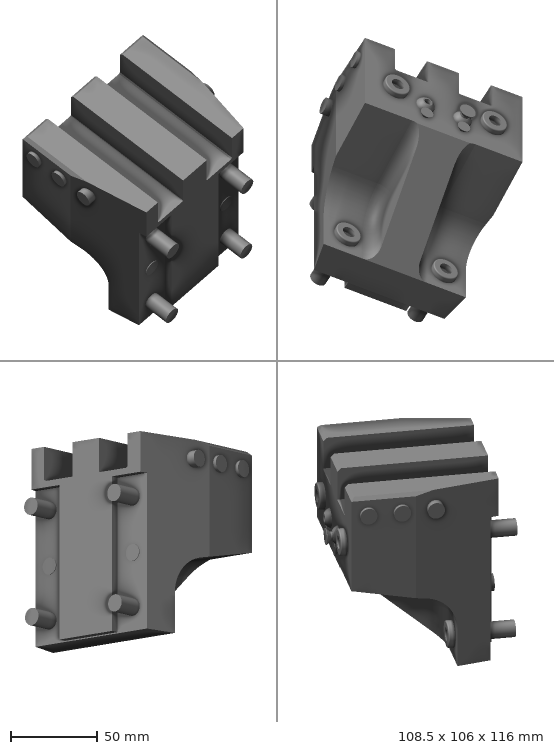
import cadquery as cq
import math

HEIGHT = 116.0
LENGTH = 89.0
HALF_WIDTH = 50.9
TOP_CHAMFER = 2.1
TAPER_START_X = 38.0
TAPER_END_HALF_WIDTH = 41.2

SLOT_INNER_Y = 10.0
SLOT_OUTER_Y = 31.4
SLOT_DEPTH = 20.3
SLOT_OUTER_CHAMFER = 0.8
SLOT_INNER_CHAMFER = 0.3

OVERHANG_Z = 56.5
OVERHANG_ANGLE = 12.0
PLATE_FRONT_X = 63.7
INSIDE_RADIUS = 24.0
RIB_HALF_WIDTH = 12.5
RIB_FILLET = 8.0
RIB_TOP_Z = 55.7

PAD_THICKNESS = 5.0
PAD_HALF_WIDTH = 20.0
PAD_TOP_Z = 92.0
PAD_BOTTOM_Z = 0.7
BUTTON_Y = 31.4
BUTTON_Z = 46.3
BUTTON_RADIUS = 5.0
BUTTON_HEIGHT = 0.5

PIN_RADIUS = 5.0
PIN_Z = 104.4
PIN_FIRST_X = 10.0
PIN_PITCH = 20.0
PIN_COUNT = 3
PIN_OUTER_Y = 53.0
PIN_INNER_Y = 40.6

SCREW_Y = 31.4
UPPER_SCREW_Z = 79.1
LOWER_SCREW_Z = 14.0
UPPER_SCREW_END_X = 101.0
LOWER_SCREW_END_X = 100.2
HEAD_RADIUS = 8.0
HEAD_HEIGHT = 3.8
HEAD_ROUNDING = 0.8
SOCKET_RADIUS = 4.0
SOCKET_DEPTH = 4.0
SHANK_RADIUS = 5.1

NOZZLE_Y = 12.0
BALL_Z = 74.0
BALL_RADIUS = 6.1
BALL_CENTRE_X = 1.9
BALL_PROTRUSION = 3.5
BORE_RADIUS = 2.2
BORE_DEPTH = 4.0
FLARE_RIM = 0.3
JET_NECK_RADIUS = 2.7
JET_NECK_END_X = -4.6
JET_RADIUS = 5.0
JET_END_X = -7.5
PLUG_Z = 65.3
PLUG_RADIUS = 4.0
PLUG_SEAT_RADIUS = 2.0
PLUG_END_X = -2.5
PLUG_SEAT_DEPTH = 1.2

STEP_X = LENGTH - PAD_THICKNESS
SIDES = (-1, 1)


def box(x_range, y_range, z_range):
    """Box spanning three ranges, each given as two end values in either order."""
    spans = [sorted(pair) for pair in (x_range, y_range, z_range)]
    sizes = [high - low for low, high in spans]
    corner = tuple(low for low, high in spans)
    return cq.Workplane("XY").box(*sizes, centered=False).translate(corner)


def cylinder_x(start_x, end_x, y, z, radius):
    """Cylinder along X between two positions."""
    return cq.Workplane("YZ", origin=(start_x, y, z)).circle(radius).extrude(end_x - start_x)


def chamfered_block():
    block = box((0, LENGTH), (-HALF_WIDTH, HALF_WIDTH), (0, HEIGHT))
    return block.faces(">Z").edges("<X or <Y or >Y").chamfer(TOP_CHAMFER)


def side_taper(side):
    corners = [
        (TAPER_START_X, side * HALF_WIDTH),
        (LENGTH, side * HALF_WIDTH),
        (LENGTH, side * TAPER_END_HALF_WIDTH),
    ]
    return cq.Workplane("XY").polyline(corners).close().extrude(HEIGHT)


def top_slot(side):
    floor_z = HEIGHT - SLOT_DEPTH
    section = [
        (side * SLOT_INNER_Y, HEIGHT),
        (side * SLOT_INNER_Y, floor_z + SLOT_INNER_CHAMFER),
        (side * (SLOT_INNER_Y + SLOT_INNER_CHAMFER), floor_z),
        (side * (SLOT_OUTER_Y - SLOT_OUTER_CHAMFER), floor_z),
        (side * SLOT_OUTER_Y, floor_z + SLOT_OUTER_CHAMFER),
        (side * SLOT_OUTER_Y, HEIGHT),
    ]
    return cq.Workplane("YZ").polyline(section).close().extrude(LENGTH)


def rib_slope():
    """Wedge below the sloping face of the rib."""
    corners = [(0, RIB_TOP_Z), (PLATE_FRONT_X, 0), (0, 0)]
    return cq.Workplane("XZ").polyline(corners).close().extrude(HALF_WIDTH, both=True)


def underside_space(side):
    """Space beside the rib, below the overhang and in front of the plate."""
    angle = math.radians(OVERHANG_ANGLE)
    slope = math.tan(angle)
    radius = INSIDE_RADIUS
    centre_x = PLATE_FRONT_X - radius
    centre_z = OVERHANG_Z - slope * centre_x - radius / math.cos(angle)
    tangent = (centre_x + radius * math.sin(angle), centre_z + radius * math.cos(angle))
    middle_angle = (math.pi / 2 - angle) / 2
    middle = (centre_x + radius * math.cos(middle_angle), centre_z + radius * math.sin(middle_angle))
    margin = 2 * RIB_FILLET
    space = (
        cq.Workplane("XZ", origin=(0, -HALF_WIDTH - margin, 0))
        .moveTo(-margin, -margin)
        .lineTo(-margin, OVERHANG_Z + slope * margin)
        .lineTo(*tangent)
        .threePointArc(middle, (PLATE_FRONT_X, centre_z))
        .lineTo(PLATE_FRONT_X, -margin)
        .close()
        .extrude(RIB_HALF_WIDTH - HALF_WIDTH - margin)
        .faces(">Y")
        .edges("not (<X or <Z)")
        .fillet(RIB_FILLET)
    )
    return space if side < 0 else space.mirror("XZ")


def rear_relief(side):
    return box((STEP_X, LENGTH), (side * PAD_HALF_WIDTH, side * HALF_WIDTH), (0, PAD_TOP_Z))


def rear_button(side):
    return cylinder_x(STEP_X, STEP_X + BUTTON_HEIGHT, side * BUTTON_Y, BUTTON_Z, BUTTON_RADIUS)


def side_pin(side, x):
    """Pin stub through a side wall, ending short of the slot."""
    length = PIN_OUTER_Y - PIN_INNER_Y
    pin = cq.Workplane("XZ", origin=(x, -PIN_INNER_Y, PIN_Z)).circle(PIN_RADIUS).extrude(length)
    return pin if side < 0 else pin.mirror("XZ")


def screw(seat_x, end_x, y, z):
    """Rounded head on the seat, with the shank showing behind the block."""
    head_x = seat_x - HEAD_HEIGHT
    head = cylinder_x(head_x, seat_x, y, z, HEAD_RADIUS).faces("<X").fillet(HEAD_ROUNDING)
    return head.union(cylinder_x(seat_x, end_x, y, z, SHANK_RADIUS))


def screw_socket(seat_x, y, z):
    head_x = seat_x - HEAD_HEIGHT
    return cylinder_x(head_x, head_x + SOCKET_DEPTH, y, z, SOCKET_RADIUS)


def nozzle_ball(y):
    ball = cq.Workplane("XY").sphere(BALL_RADIUS).translate((BALL_CENTRE_X, y, BALL_Z))
    reach = 2 * BALL_RADIUS
    trim = box((-BALL_PROTRUSION, reach), (y - reach, y + reach), (BALL_Z - reach, BALL_Z + reach))
    return ball.intersect(trim)


def nozzle_bore(y):
    """Blind bore in the flat of the ball."""
    return cylinder_x(-BALL_PROTRUSION, BORE_DEPTH - BALL_PROTRUSION, y, BALL_Z, BORE_RADIUS)


def flare(base_x, neck_x, neck_radius, end_x, end_radius, y, z):
    """Neck that widens into a cone with a thin straight rim."""
    profile = [
        (base_x, 0),
        (base_x, neck_radius),
        (neck_x, neck_radius),
        (end_x + FLARE_RIM, end_radius),
        (end_x, end_radius),
        (end_x, 0),
    ]
    half_section = cq.Workplane("XY").polyline(profile).close()
    return half_section.revolve(360, (0, 0, 0), (1, 0, 0)).translate((0, y, z))


def jet(y):
    return flare(0, JET_NECK_END_X, JET_NECK_RADIUS, JET_END_X, JET_RADIUS, y, BALL_Z)


def plug(y):
    return flare(PLUG_SEAT_DEPTH, 0, PLUG_SEAT_RADIUS, PLUG_END_X, PLUG_RADIUS, y, PLUG_Z)


body = chamfered_block().cut(rib_slope())
for side in SIDES:
    body = body.cut(side_taper(side))
    body = body.cut(top_slot(side))
    body = body.cut(underside_space(side))
    body = body.cut(rear_relief(side))
body = body.cut(box((STEP_X, LENGTH), (-PAD_HALF_WIDTH, PAD_HALF_WIDTH), (0, PAD_BOTTOM_Z)))

SCREW_ROWS = (
    (0, UPPER_SCREW_END_X, UPPER_SCREW_Z),
    (PLATE_FRONT_X, LOWER_SCREW_END_X, LOWER_SCREW_Z),
)
for side in SIDES:
    for index in range(PIN_COUNT):
        body = body.union(side_pin(side, PIN_FIRST_X + index * PIN_PITCH))
    for seat_x, end_x, z in SCREW_ROWS:
        body = body.union(screw(seat_x, end_x, side * SCREW_Y, z))
        body = body.cut(screw_socket(seat_x, side * SCREW_Y, z))
    body = body.union(rear_button(side))
    body = body.union(nozzle_ball(side * NOZZLE_Y))
    body = body.union(plug(side * NOZZLE_Y))

body = body.cut(nozzle_bore(NOZZLE_Y))
body = body.union(jet(-NOZZLE_Y))

result = body